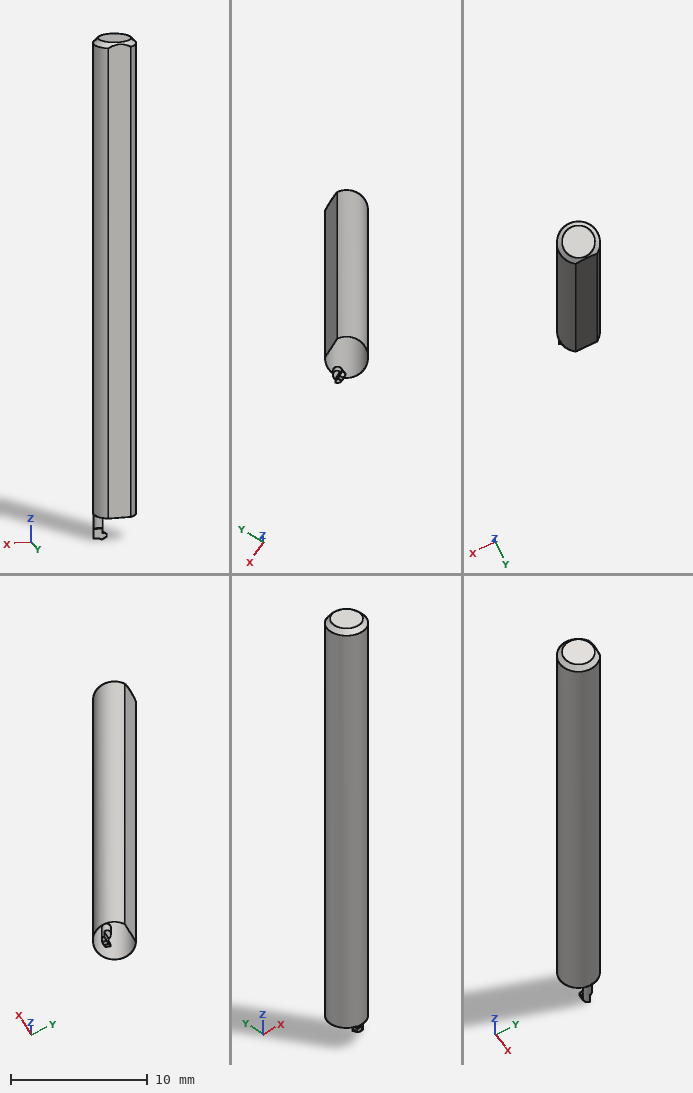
import cadquery as cq

total_length = 38.1
shank_radius = 1.59
shank_bottom = 1.95
top_chamfer = 0.4
flat_y = 1.35

neck_radius = 0.35
neck_x = shank_radius - neck_radius
neck_bottom = 0.1
neck_overlap = 0.4

rake_top = 0.85
rake_runout_top = 1.03

tooth_tip_x = 0.57
tooth_root_x = 1.22
tooth_low_x = 0.95
tooth_shoulder_x = 0.7
tooth_top = 0.5
tooth_flank_bottom = 0.23
tooth_flank_top = 0.4
tooth_depth = 0.362
tooth_relief = 0.1


def make_shank():
    length = total_length - shank_bottom
    shank = cq.Workplane("XY").workplane(offset=shank_bottom).circle(shank_radius).extrude(length)
    shank = shank.faces(">Z").chamfer(top_chamfer)
    size = 2 * shank_radius
    flat_cutter = (
        cq.Workplane("XY")
        .box(size, size, total_length, centered=(True, False, False))
        .translate((0, flat_y, 0))
    )
    return shank.cut(flat_cutter)


def make_neck():
    length = shank_bottom + neck_overlap - neck_bottom
    neck = (
        cq.Workplane("XY")
        .workplane(offset=neck_bottom)
        .center(neck_x, 0)
        .circle(neck_radius)
        .extrude(length)
    )
    rake_cutter = (
        cq.Workplane("YZ")
        .polyline([(0, 0), (neck_radius, 0), (neck_radius, rake_runout_top), (0, rake_top)])
        .close()
        .extrude(2 * shank_radius)
    )
    return neck.cut(rake_cutter)


def tooth_outline(relief):
    """X-Z points of the tooth, with its tip and lower edges set back by the relief."""
    return [
        (tooth_root_x, tooth_top),
        (tooth_shoulder_x + relief, tooth_top),
        (tooth_tip_x + relief, tooth_flank_top),
        (tooth_tip_x + relief, tooth_flank_bottom),
        (tooth_low_x, relief),
        (tooth_root_x, neck_bottom),
    ]


def make_tooth():
    return (
        cq.Workplane("XZ")
        .polyline(tooth_outline(0))
        .close()
        .workplane(offset=tooth_depth)
        .polyline(tooth_outline(tooth_relief))
        .close()
        .loft(ruled=True)
    )


result = make_shank().union(make_neck()).union(make_tooth())